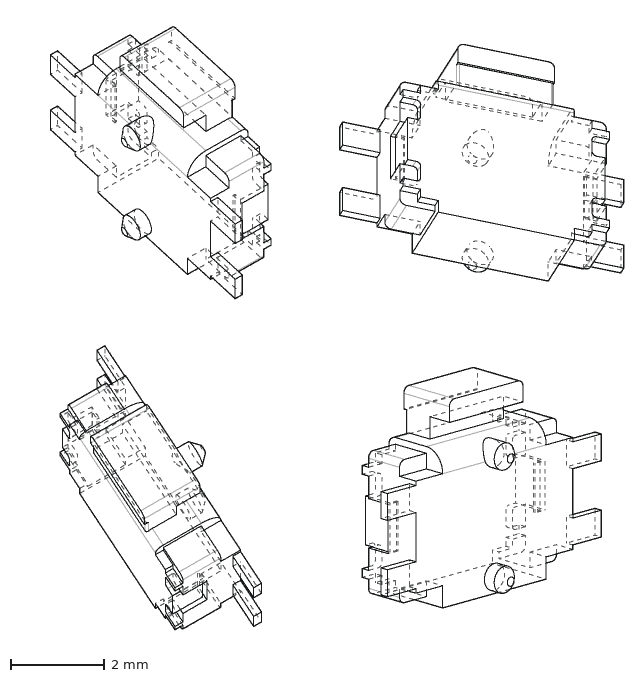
import cadquery as cq


body_depth = 1.65
body_height = 3.5
mid_z = body_height / 2
core_width = 3.1
core_front_radius = 0.5
core_rear_radius = 0.2
wing_width = 4.7
wing_height = 2.5
shoulder_height = 3.2
shoulder_setback = 0.5
shoulder_radius = 0.15

cover_thickness = 0.2
cover_width = 3.905
cover_height = 2.9
notch_height = 0.505
notch_radius = 0.1
rear_tab_height = 0.2

ear_height = 1.1
ear_length = 0.75
ear_recess = 0.1
ear_gap = 0.05
ear_gap_depth = 0.3

button_width = 2.2
button_depth = 1.4
button_head_height = 0.5
button_rise = 1.0
button_radius = 0.15
stem_front = body_depth - 0.8
stem_rear_gap = 0.05
stem_rear_radius = 0.05
stem_root = 0.2

terminal_span = 6.4
terminal_height = 0.6
terminal_thickness = 0.2
terminal_offset = 0.85

pin_radius = 0.3
pin_tip_radius = 0.1
pin_length = 0.5
pin_cone_length = 0.2
pin_offset = 1.375
pin_root = core_front_radius

wing_depth = body_depth - cover_thickness
wing_half = wing_width / 2
cover_half = cover_width / 2


def block(width, y_front, y_rear, z_low, z_high, x_center=0.0):
    """Box centred on x_center, bounded by the given Y and Z limits."""
    box = cq.Workplane("XY").box(width, y_rear - y_front, z_high - z_low)
    return box.translate((x_center, (y_front + y_rear) / 2, (z_low + z_high) / 2))


def mid_block(width, y_front, y_rear, height, z_offset=0.0, x_center=0.0):
    """Box whose Z centre lies z_offset from the middle of the housing."""
    z_center = mid_z + z_offset
    return block(width, y_front, y_rear, z_center - height / 2, z_center + height / 2, x_center)


def make_housing():
    """Core with rounded top edges, between two wings with rounded shoulders."""
    core = block(core_width, 0, body_depth, 0, body_height)
    core = core.edges(">Z and <Y").fillet(core_front_radius)
    core = core.edges(">Z and >Y").fillet(core_rear_radius)
    wings = mid_block(wing_width, 0, wing_depth, wing_height)
    shoulders = mid_block(wing_width, shoulder_setback, wing_depth, shoulder_height)
    shoulders = shoulders.edges("|Y").fillet(shoulder_radius)
    return core.union(wings).union(shoulders)


def make_cover():
    """Rear plate whose sides are notched above and below each ear, leaving thin tabs."""
    cover = mid_block(cover_width, wing_depth, body_depth, cover_height)
    cover = cover.union(mid_block(wing_width, wing_depth, body_depth, wing_height))
    notch_depth = wing_half - cover_half
    notch_offset = wing_height / 2 - rear_tab_height - notch_height / 2
    for side in (-1, 1):
        inner_face = "<X" if side > 0 else ">X"
        for z_sign in (-1, 1):
            notch = mid_block(
                notch_depth,
                wing_depth,
                body_depth,
                notch_height,
                z_sign * notch_offset,
                side * (cover_half + notch_depth / 2),
            )
            cover = cover.cut(notch.faces(inner_face).edges("|Y").fillet(notch_radius))
    return cover


def make_ear_pocket(side):
    """Space left outside an ear, with the narrow deeper gap along its front end."""
    ear_front = body_depth - ear_length
    gap_front = ear_front - ear_gap
    recess = mid_block(
        ear_recess, gap_front, body_depth, ear_height, x_center=side * (wing_half - ear_recess / 2)
    )
    gap = mid_block(
        ear_gap_depth, gap_front, ear_front, ear_height, x_center=side * (wing_half - ear_gap_depth / 2)
    )
    return recess.union(gap)


def make_button():
    """Head overhanging a narrower stem that rises out of the housing."""
    button_top = body_height + button_rise
    head_bottom = button_top - button_head_height
    head = block(button_width, body_depth - button_depth, body_depth, head_bottom, button_top)
    head = head.edges(">Z and |Y").fillet(button_radius)
    stem_rear = body_depth - stem_rear_gap
    stem = block(button_width, stem_front, stem_rear, body_height - stem_root, head_bottom)
    stem = stem.edges("|Z and >Y").fillet(stem_rear_radius)
    return head.union(stem)


def make_pin(z_offset):
    """Locating pin with a conical tip, pointing out of the mounting face."""
    profile = (
        cq.Workplane("XY")
        .moveTo(0, pin_root)
        .lineTo(pin_radius, pin_root)
        .lineTo(pin_radius, pin_cone_length - pin_length)
        .lineTo(pin_tip_radius, -pin_length)
        .lineTo(0, -pin_length)
        .close()
    )
    pin = profile.revolve(360, (0, 0, 0), (0, 1, 0))
    return pin.translate((0, 0, mid_z + z_offset))


result = make_housing().union(make_cover())
for side in (-1, 1):
    result = result.cut(make_ear_pocket(side))
result = result.union(make_button())
for z_sign in (-1, 1):
    terminals = mid_block(
        terminal_span, 0, terminal_thickness, terminal_height, z_sign * terminal_offset
    )
    result = result.union(terminals).union(make_pin(z_sign * pin_offset))